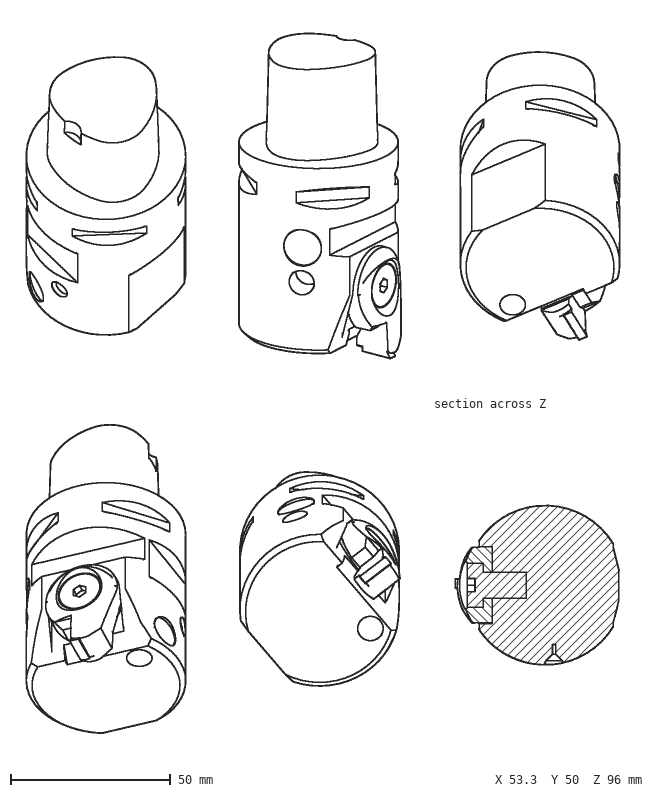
import cadquery as cq
import math


BODY_R = 25.0
BODY_LENGTH = 62.2
END_CHAMFER = 1.8
FAR = 2 * BODY_R

SHANK_LENGTH = 30.0
LOBE_REACH = 18.6
FLANK_REACH = 16.4
LOBE_HALF_ANGLE = 38.0
SHANK_TAPER = math.degrees(math.atan(1 / 40))
KEY_NOTCH_D = 8.5
KEY_NOTCH_Y = -17.95
KEY_NOTCH_DEPTH = 5.8

GRIP_FLOOR_R = 22.1
GRIP_MOUTH = (-6.7, -13.6)
GRIP_FLOOR = (-8.15, -11.75)

CHIP_FLAT_R = 21.8
CHIP_FLAT_ANGLE = 262.0
CHIP_TOP = -20.2
CHIP_BOTTOM = -35.2
WALL_SLOPE = math.tan(math.radians(15))

GROOVE_X = -16.5
GROOVE_TOP = -20.3
GROOVE_BOTTOM = -28.9
CUT_FACE_X = -20.8
CLEARANCE_Z = -55.4
CLEARANCE_SLOPE = math.tan(math.radians(30))
CLEARANCE_END_Y = 8.0

SEAT_Z = -43.0
SEAT_D = 24.0
SEAT_X = -16.73
SEAT_BOTTOM = -58.2

REAR_X = 21.35
REAR_TOP = -27.2
REAR_BOSS_D = 24.0
REAR_BOSS_TOP_D = 9.0
REAR_BOSS_HEIGHT = 1.85

DOME_HEIGHT = 0.8
SIDE_DOME_BASE_R = 24.1
SIDE_DOMES = ((10.02, 249.0, -53.7), (12.02, 111.5, -26.6))
END_DOMES = ((8.0, -8.9, -14.3), (10.02, 10.7, 12.9))
COOLANT_D = 8.0
COOLANT_ANGLE = 111.0
COOLANT_Z = -38.2
COOLANT_DEPTH = 10.0
NOZZLE_X = 2.8
NOZZLE_MOUTH_D = 6.25
NOZZLE_D = 5.01
NOZZLE_LIP = 1.2
NOZZLE_CONE = 2.0
NOZZLE_BORE_D = 1.0
NOZZLE_BORE_DEPTH = 3.0

INSERT_R = 23.84 / 2
INSERT_BACK_X = -17.9
INSERT_FACE_X = -26.27
INSERT_FACE_R = 22.0
INSERT_FACE_TILT = 3.2
BEVEL_X = -22.55
LEG_Y = 1.95
LEG_FLANK_ANGLE = 14.2
LEG_CORNER_Z = -61.6
LEG_TOE = (-4.2, -64.5)
LEG_LOW_POINT = (-2.4, -65.1)
LEG_INNER_Z = -63.9
WING_R = 18.2
WING_BOTTOM = -57.0
WING_FACE_OUTER = (-25.5, -54.3)
WING_FACE_INNER = (-23.4, -56.4)
HEEL_TOP = -56.9
HEEL_BOTTOM = -61.2
HEEL_X = -15.6
TIP_X = -28.25
TIP_Z = -66.0
TIP_TOP = -63.0
TIP_BACK = (-17.7, -65.6)
TIP_WIDTH = 2.9

HEAD_D = 13.6
COUNTERSINK_D = 14.2
HEAD_FACE_X = -24.5
HEAD_SEAT_X = -19.5
STEM_D = 8.0
STEM_END_X = -6.0
HEX_CORNER_D = 4.7
HEX_DEPTH = 2.5


def polar(radius, degrees):
    a = math.radians(degrees)
    return (radius * math.cos(a), radius * math.sin(a))


def rod_x(diameter, x_start, x_end):
    """Cylinder along X on the seat axis, between two X positions."""
    return (
        cq.Workplane("YZ", origin=(x_start, 0, SEAT_Z))
        .circle(diameter / 2)
        .extrude(x_end - x_start)
    )


def slab_y(points, y_start, y_end):
    """Prism along Y with the given XZ outline."""
    outline = cq.Workplane("XZ", origin=(0, y_start, 0)).polyline(points).close()
    return outline.extrude(y_start - y_end)


def shank():
    lobe_turn = math.radians(LOBE_HALF_ANGLE)
    flank_turn = math.radians(60 - LOBE_HALF_ANGLE)
    ratio = math.sin(lobe_turn) / math.sin(flank_turn)
    drop = (1 - math.cos(lobe_turn)) + ratio * (1 - math.cos(flank_turn))
    centre = (LOBE_REACH - FLANK_REACH) / drop
    lobe_r = LOBE_REACH - centre
    joint_x = lobe_r * math.sin(lobe_turn)
    joint_y = centre + lobe_r * math.cos(lobe_turn)
    joint_r = math.hypot(joint_x, joint_y)
    joint_angle = math.degrees(math.atan2(joint_x, joint_y))

    outline = cq.Workplane("XY").moveTo(*polar(joint_r, 90 - joint_angle))
    for lobe in (90, 210, 330):
        outline = outline.threePointArc(polar(LOBE_REACH, lobe), polar(joint_r, lobe + joint_angle))
        outline = outline.threePointArc(
            polar(FLANK_REACH, lobe + 60), polar(joint_r, lobe + 120 - joint_angle)
        )
    solid = outline.close().extrude(SHANK_LENGTH, taper=SHANK_TAPER)
    notch = (
        cq.Workplane("XY", origin=(0, KEY_NOTCH_Y, SHANK_LENGTH))
        .circle(KEY_NOTCH_D / 2)
        .extrude(-KEY_NOTCH_DEPTH)
    )
    return solid.cut(notch)


def radial_slot(floor_r, mouth, floor, degrees):
    """Cutter for a flat-floored slot with sloping walls, facing outwards at an angle."""
    points = [
        (BODY_R, mouth[0]),
        (floor_r, floor[0]),
        (floor_r, floor[1]),
        (BODY_R, mouth[1]),
        (FAR, mouth[1]),
        (FAR, mouth[0]),
    ]
    return slab_y(points, -FAR, FAR).rotate((0, 0, 0), (0, 0, 1), degrees)


def cutting_side_relief():
    groove_depth = BODY_R + GROOVE_X
    low = -BODY_LENGTH
    leg_run = (SEAT_Z - low) * WALL_SLOPE
    points = [
        (-BODY_R, GROOVE_TOP + groove_depth * WALL_SLOPE),
        (GROOVE_X, GROOVE_TOP),
        (GROOVE_X, GROOVE_BOTTOM),
        (CUT_FACE_X, GROOVE_BOTTOM + (CUT_FACE_X - GROOVE_X) * WALL_SLOPE),
        (CUT_FACE_X, SEAT_Z),
        (CUT_FACE_X + leg_run, low),
        (-FAR, low),
        (-FAR, GROOVE_TOP + groove_depth * WALL_SLOPE),
    ]
    relief = slab_y(points, -FAR, FAR)

    clearance_x = CUT_FACE_X + (SEAT_Z - CLEARANCE_Z) * WALL_SLOPE
    clearance = slab_y(
        [
            (clearance_x, CLEARANCE_Z),
            (clearance_x + (CLEARANCE_Z - low) * CLEARANCE_SLOPE, low),
            (-FAR, low),
            (-FAR, CLEARANCE_Z),
        ],
        -FAR,
        CLEARANCE_END_Y,
    )
    return relief.union(clearance)


def insert_seat():
    slot_height = SEAT_Z - SEAT_BOTTOM
    slot = cq.Workplane("XY").box(FAR, SEAT_D, slot_height, centered=(False, True, False))
    slot = slot.translate((SEAT_X - FAR, 0, SEAT_BOTTOM))
    return rod_x(SEAT_D, SEAT_X, SEAT_X - FAR).union(slot)


def rear_relief():
    depth = BODY_R - REAR_X
    return slab_y(
        [
            (BODY_R, REAR_TOP),
            (REAR_X, REAR_TOP - depth),
            (REAR_X, -BODY_LENGTH),
            (FAR, -BODY_LENGTH),
            (FAR, REAR_TOP),
        ],
        -FAR,
        FAR,
    )


def rear_boss():
    return (
        cq.Workplane("YZ", origin=(REAR_X, 0, SEAT_Z))
        .circle(REAR_BOSS_D / 2)
        .workplane(offset=REAR_BOSS_HEIGHT)
        .circle(REAR_BOSS_TOP_D / 2)
        .loft()
    )


def dome(diameter):
    """Spherical cap standing on the XY plane."""
    r = diameter / 2
    sphere_r = (r**2 + DOME_HEIGHT**2) / (2 * DOME_HEIGHT)
    ball = cq.Workplane("XY").sphere(sphere_r).translate((0, 0, DOME_HEIGHT - sphere_r))
    return ball.intersect(cq.Workplane("XY").circle(r).extrude(DOME_HEIGHT))


def place_radial(shape, radius, degrees, z):
    """Turn a shape's +Z outwards and set it at a radius on the side of the body."""
    turned = shape.rotate((0, 0, 0), (0, 1, 0), 90).translate((radius, 0, z))
    return turned.rotate((0, 0, 0), (0, 0, 1), degrees)


def nozzle_hole():
    """Stepped hole entering the -Y side: lip, funnel and small bore."""
    lip_y = -math.sqrt(BODY_R**2 - NOZZLE_X**2)
    funnel_y = lip_y + NOZZLE_LIP
    bore_y = funnel_y + NOZZLE_CONE
    profile = [
        (0, -FAR),
        (NOZZLE_MOUTH_D / 2, -FAR),
        (NOZZLE_MOUTH_D / 2, lip_y),
        (NOZZLE_D / 2, funnel_y),
        (NOZZLE_BORE_D / 2, bore_y),
        (NOZZLE_BORE_D / 2, bore_y + NOZZLE_BORE_DEPTH),
        (0, bore_y + NOZZLE_BORE_DEPTH),
    ]
    hole = cq.Workplane("XY").polyline(profile).close().revolve(360, (0, 0, 0), (0, 1, 0))
    return hole.translate((NOZZLE_X, 0, SEAT_Z))


def make_holder():
    body = cq.Workplane("XY").circle(BODY_R).extrude(-BODY_LENGTH)
    body = body.faces("<Z").chamfer(END_CHAMFER)
    for degrees in (45, 135, 225, 315):
        body = body.cut(radial_slot(GRIP_FLOOR_R, GRIP_MOUTH, GRIP_FLOOR, degrees))
    chip_wall = (BODY_R - CHIP_FLAT_R) * WALL_SLOPE
    chip_mouth = (CHIP_TOP + chip_wall, CHIP_BOTTOM - chip_wall)
    body = body.cut(radial_slot(CHIP_FLAT_R, chip_mouth, (CHIP_TOP, CHIP_BOTTOM), CHIP_FLAT_ANGLE))
    body = body.cut(cutting_side_relief()).cut(insert_seat())
    body = body.cut(rear_relief()).union(rear_boss())

    for diameter, degrees, z in SIDE_DOMES:
        recess = cq.Workplane("XY").circle(diameter / 2).extrude(BODY_R)
        body = body.cut(place_radial(recess, SIDE_DOME_BASE_R, degrees, z))
        body = body.union(place_radial(dome(diameter), SIDE_DOME_BASE_R, degrees, z))
    for diameter, x, y in END_DOMES:
        cap = dome(diameter).rotate((0, 0, 0), (1, 0, 0), 180)
        body = body.union(cap.translate((x, y, -BODY_LENGTH)))

    coolant = cq.Workplane("XY").circle(COOLANT_D / 2).extrude(FAR)
    body = body.cut(place_radial(coolant, BODY_R - COOLANT_DEPTH, COOLANT_ANGLE, COOLANT_Z))
    body = body.cut(nozzle_hole()).cut(rod_x(STEM_D, SEAT_X, STEM_END_X))
    return body.union(shank())


def insert_outline():
    """Disc with a tapering leg below it and a short wing beside the leg."""
    flank = math.radians(LEG_FLANK_ANGLE)
    flank_y = -INSERT_R * math.cos(flank)
    flank_z = SEAT_Z - INSERT_R * math.sin(flank)
    corner_y = flank_y + (flank_z - LEG_CORNER_Z) * math.tan(flank)
    wing_centre_y = INSERT_R - WING_R
    wing_turn = math.degrees(math.asin((SEAT_Z - WING_BOTTOM) / WING_R))

    def on_wing(degrees):
        dy, dz = polar(WING_R, -degrees)
        return (wing_centre_y + dy, SEAT_Z + dz)

    return (
        cq.Workplane("YZ", origin=(INSERT_BACK_X, 0, 0))
        .moveTo(INSERT_R, SEAT_Z)
        .threePointArc((0, SEAT_Z + INSERT_R), (flank_y, flank_z))
        .lineTo(corner_y, LEG_CORNER_Z)
        .lineTo(*LEG_TOE)
        .threePointArc(LEG_LOW_POINT, (LEG_Y, LEG_INNER_Z))
        .lineTo(LEG_Y, WING_BOTTOM)
        .lineTo(*on_wing(wing_turn))
        .threePointArc(on_wing(wing_turn / 2), (INSERT_R, SEAT_Z))
        .close()
    )


def rounded_face():
    """Tilted cylinder whose outside is the insert's rounded outer face."""
    pivot = (INSERT_FACE_X + INSERT_FACE_R, 0, SEAT_Z)
    cylinder = cq.Workplane("XY", origin=pivot).circle(INSERT_FACE_R).extrude(FAR, both=True)
    axis_end = (pivot[0], 1, pivot[2])
    return cylinder.rotate(pivot, axis_end, INSERT_FACE_TILT)


def bevel_cutter():
    """Material outside a 45 degree cone, over the upper half of the disc."""
    outside = cq.Workplane("XY").box(INSERT_R, 2 * INSERT_R, INSERT_R, centered=(False, True, False))
    outside = outside.translate((BEVEL_X - INSERT_R, 0, SEAT_Z))
    cone = cq.Workplane(
        cq.Solid.makeCone(INSERT_R, 0, INSERT_R, cq.Vector(BEVEL_X, 0, SEAT_Z), cq.Vector(-1, 0, 0))
    )
    return outside.cut(cone)


def heel():
    """Leg's back, which steps in towards the holder near the bottom."""
    return slab_y(
        [
            (INSERT_BACK_X, HEEL_TOP),
            (HEEL_X, HEEL_BOTTOM),
            (HEEL_X, LEG_LOW_POINT[1]),
            (INSERT_BACK_X, LEG_LOW_POINT[1]),
        ],
        -INSERT_R,
        LEG_Y,
    )


def wing_face_cutter():
    """Space below the wing: a 45 degree outer slope and a level underside."""
    return slab_y(
        [
            WING_FACE_OUTER,
            WING_FACE_INNER,
            (INSERT_BACK_X, WING_FACE_INNER[1]),
            (INSERT_BACK_X, TIP_Z),
            (-FAR, TIP_Z),
            (-FAR, WING_FACE_OUTER[1]),
        ],
        LEG_Y,
        INSERT_R,
    )


def cutting_tip():
    return slab_y(
        [(TIP_X, TIP_Z), TIP_BACK, (TIP_BACK[0], TIP_TOP), (INSERT_FACE_X, TIP_TOP)],
        LEG_Y - TIP_WIDTH,
        LEG_Y,
    )


def screw_access():
    """45 degree countersink that opens outwards around the screw head."""
    depth = HEAD_FACE_X - TIP_X
    small_r = COUNTERSINK_D / 2
    return cq.Workplane(
        cq.Solid.makeCone(
            small_r, small_r + depth, depth, cq.Vector(HEAD_FACE_X, 0, SEAT_Z), cq.Vector(-1, 0, 0)
        )
    )


def make_insert():
    plate = insert_outline().extrude(TIP_X - INSERT_BACK_X)
    whole_leg = insert_outline().extrude(HEEL_X - INSERT_BACK_X)
    plate = plate.union(whole_leg.intersect(heel()))
    plate = plate.intersect(rounded_face())
    plate = plate.cut(bevel_cutter()).cut(wing_face_cutter())
    plate = plate.union(cutting_tip())
    plate = plate.union(rod_x(2 * INSERT_R, SEAT_X, INSERT_BACK_X))
    plate = plate.cut(screw_access())
    plate = plate.cut(rod_x(HEAD_D, HEAD_SEAT_X, HEAD_FACE_X))
    return plate.cut(rod_x(STEM_D, SEAT_X, HEAD_SEAT_X))


def make_screw():
    screw = rod_x(HEAD_D, HEAD_SEAT_X, HEAD_FACE_X).union(rod_x(STEM_D, HEAD_SEAT_X, STEM_END_X))
    socket = (
        cq.Workplane("YZ", origin=(HEAD_FACE_X, 0, SEAT_Z))
        .polygon(6, HEX_CORNER_D)
        .extrude(HEX_DEPTH)
        .rotate((0, 0, SEAT_Z), (1, 0, SEAT_Z), 90)
    )
    return screw.cut(socket)


holder = make_holder().solids()
insert = make_insert().solids()
screw = make_screw().solids()

result = cq.Compound.makeCompound([holder.val(), insert.val(), screw.val()])